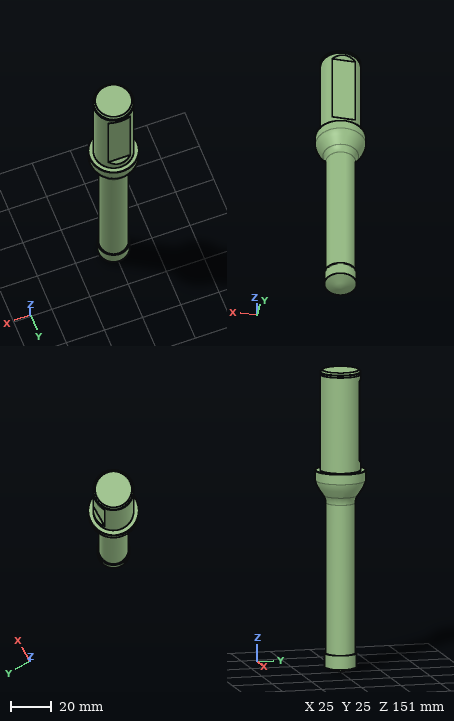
import cadquery as cq
import math


shank_radius = 19.99 / 2
shank_length = 50.0
groove_radius = 19.6 / 2
groove_top = shank_length - 1.3
groove_bottom = shank_length - 2.3
end_chamfer = 1.0

flat_distance = 8.15
flat_top = shank_length - 5.6
flat_bottom = 5.5
flat_cutter_depth = 5.0

overall_length = 151.0
neck_radius = 14.7 / 2
tip_radius = 15.9 / 2
tip_bottom = shank_length - overall_length
point_angle = math.radians(18)
point_height = tip_radius * math.tan(point_angle)
tip_cylinder_height = 7.0
tip_top = tip_bottom + point_height + tip_cylinder_height

flange_radius = 25.0 / 2
flange_bottom = -5.0
flange_chamfer = 0.2
neck_top = -16.3
neck_round = 6.0
neck_round_angle = math.radians(40)
lower_pull = 4.0
upper_pull = 1.0


def neck_round_point(angle):
    """Point on the concave round, by the angle turned from the neck."""
    return (
        neck_radius + neck_round * (1 - math.cos(angle)),
        neck_top + neck_round * math.sin(angle),
    )


def make_holder():
    """Shank, flange, taper and neck turned about Z, with the clamping flat."""
    taper_end = neck_round_point(neck_round_angle)
    taper_lower_pull = (
        taper_end[0] + lower_pull * math.sin(neck_round_angle),
        taper_end[1] + lower_pull * math.cos(neck_round_angle),
    )
    taper_upper_pull = (flange_radius, flange_bottom - upper_pull)
    body = (
        cq.Workplane("XZ")
        .moveTo(0, tip_top)
        .lineTo(neck_radius, tip_top)
        .lineTo(neck_radius, neck_top)
        .threePointArc(neck_round_point(neck_round_angle / 2), taper_end)
        .bezier([taper_end, taper_lower_pull, taper_upper_pull, (flange_radius, flange_bottom)])
        .lineTo(flange_radius, -flange_chamfer)
        .lineTo(flange_radius - flange_chamfer, 0)
        .lineTo(shank_radius, 0)
        .lineTo(shank_radius, groove_bottom)
        .lineTo(groove_radius, groove_bottom)
        .lineTo(groove_radius, groove_top)
        .lineTo(shank_radius, groove_top)
        .lineTo(shank_radius, shank_length - end_chamfer)
        .lineTo(shank_radius - end_chamfer, shank_length)
        .lineTo(0, shank_length)
        .close()
        .revolve(360, (0, 0, 0), (0, 1, 0))
    )
    flat_cutter = (
        cq.Workplane("YZ")
        .moveTo(flat_distance, flat_bottom)
        .lineTo(flat_distance + flat_cutter_depth, flat_bottom - flat_cutter_depth)
        .lineTo(flat_distance + flat_cutter_depth, flat_top + flat_cutter_depth)
        .lineTo(flat_distance, flat_top)
        .close()
        .extrude(shank_radius, both=True)
    )
    return body.cut(flat_cutter)


def make_tip():
    """Cylindrical drill tip with a shallow conical point."""
    return (
        cq.Workplane("XZ")
        .moveTo(0, tip_bottom)
        .lineTo(tip_radius, tip_bottom + point_height)
        .lineTo(tip_radius, tip_top)
        .lineTo(0, tip_top)
        .close()
        .revolve(360, (0, 0, 0), (0, 1, 0))
    )


holder = make_holder()
tip = make_tip()
result = cq.Compound.makeCompound([holder.val(), tip.val()])